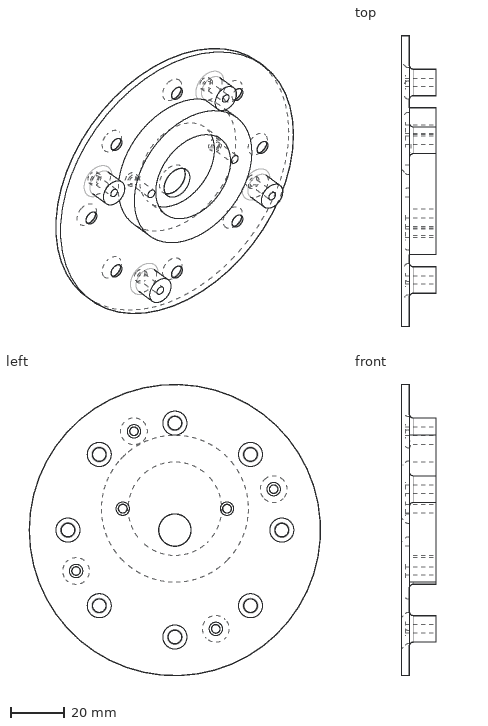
import cadquery as cq
import math

plate_diameter = 109.0
plate_thickness = 3.0
total_thickness = 13.0
housing_height = total_thickness - plate_thickness
center_hole_diameter = 12.0

pattern_radius = 40.0
countersunk_count = 8
countersunk_hole_diameter = 5.0
countersink_diameter = 9.0
countersink_angle = 90.0
countersink_fillet = 1.0
countersunk_pitch_angle = 360.0 / countersunk_count

standoff_count = 4
standoff_diameter = 10.0
standoff_start_angle = countersunk_pitch_angle * 1.5
standoff_hole_diameter = 3.1
standoff_root_fillet = 1.5

housing_offset = 8.0
housing_diameter = 55.0
housing_bore_diameter = 35.0
housing_hole_spacing = 39.0
housing_hole_diameter = 3.2

counterbore_diameter = 5.0
counterbore_depth = 1.5


def cylinder(diameter, start_x, length, center=(0.0, 0.0)):
    """Cylinder along +X, starting at start_x, centered at (y, z)."""
    y, z = center
    return cq.Workplane("YZ", origin=(start_x, y, z)).circle(diameter / 2.0).extrude(length)


def ring_points(count, start_angle):
    """Evenly spaced (y, z) points on the hole pattern circle."""
    angles = [math.radians(start_angle + 360.0 * i / count) for i in range(count)]
    return [(pattern_radius * math.cos(a), pattern_radius * math.sin(a)) for a in angles]


def revolve_about_x(profile, center):
    """Revolve a profile of (x, radius) about an axis along X through (y, z)."""
    y, z = center
    return profile.close().revolve(360.0, (0.0, 0.0), (1.0, 0.0)).translate((0.0, y, z))


def standoff(center):
    """Round post on the plate with a filleted root."""
    radius = standoff_diameter / 2.0
    root = standoff_root_fillet
    profile = (
        cq.Workplane("XY")
        .lineTo(0.0, radius + root)
        .lineTo(plate_thickness, radius + root)
        .radiusArc((plate_thickness + root, radius), -root)
        .lineTo(total_thickness, radius)
        .lineTo(total_thickness, 0.0)
    )
    return revolve_about_x(profile, center)


def countersunk_hole(center):
    """Through hole with a conical seat on the outer face, the seat rounded into the hole."""
    hole_radius = countersunk_hole_diameter / 2.0
    seat_radius = countersink_diameter / 2.0
    half_angle = math.radians(countersink_angle / 2.0)
    seat_depth = (seat_radius - hole_radius) / math.tan(half_angle)
    tangent_length = countersink_fillet * math.tan(half_angle / 2.0)
    arc_start = (
        seat_depth - tangent_length * math.cos(half_angle),
        hole_radius + tangent_length * math.sin(half_angle),
    )
    profile = (
        cq.Workplane("XY")
        .lineTo(0.0, seat_radius)
        .lineTo(*arc_start)
        .radiusArc((seat_depth + tangent_length, hole_radius), -countersink_fillet)
        .lineTo(plate_thickness, hole_radius)
        .lineTo(plate_thickness, 0.0)
    )
    return revolve_about_x(profile, center)


def counterbored_hole(center, diameter):
    """Hole through the full thickness with a counterbore on the outer face."""
    counterbore = cylinder(counterbore_diameter, 0.0, counterbore_depth, center)
    return cylinder(diameter, 0.0, total_thickness, center).union(counterbore)


housing_center = (0.0, housing_offset)
standoff_centers = ring_points(standoff_count, standoff_start_angle)
housing_hole_centers = [(side * housing_hole_spacing / 2.0, housing_offset) for side in (-1, 1)]

result = cylinder(plate_diameter, 0.0, plate_thickness)
result = result.union(cylinder(housing_diameter, plate_thickness, housing_height, housing_center))
for point in standoff_centers:
    result = result.union(standoff(point))

result = result.cut(cylinder(housing_bore_diameter, plate_thickness, housing_height, housing_center))
result = result.cut(cylinder(center_hole_diameter, 0.0, plate_thickness))
for point in ring_points(countersunk_count, 0.0):
    result = result.cut(countersunk_hole(point))
for point in standoff_centers:
    result = result.cut(counterbored_hole(point, standoff_hole_diameter))
for point in housing_hole_centers:
    result = result.cut(counterbored_hole(point, housing_hole_diameter))